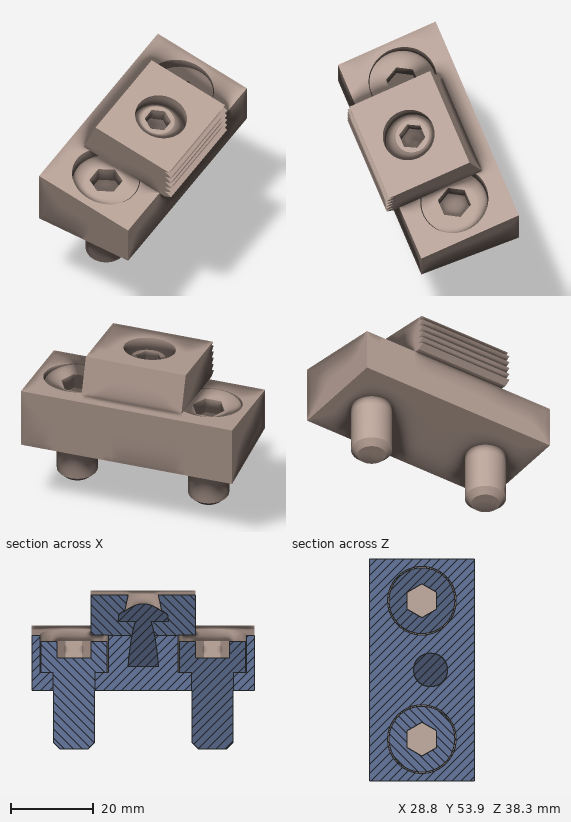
import cadquery as cq
import math

base_length = 53.85
base_width = 25.45
base_height = 15.65
slope_angle = 10.0
slope_tan = math.tan(math.radians(slope_angle))

screw_spacing = 33.5
screw_diameter = 9.95
screw_reach = 14.15
tip_chamfer = 1.5
head_diameter = 16.05
head_bore_diameter = 16.5
head_top_z = 11.95
head_height = 7.55
mount_hex_flats = 7.0
mount_hex_depth = 4.0

jaw_length = 25.45
jaw_thickness = 9.6
jaw_left_x = -8.9
jaw_back_angle = 20.0
tooth_count = 5
tooth_tip_span = 7.2
tooth_pitch = tooth_tip_span / (tooth_count - 1)
tooth_lower_height = 0.8
tooth_tip_x = 16.05
tooth_root_x = 14.3

bore_x = 5.15
bore_diameter = 12.7

clamp_offset = 0.6
clamp_head_diameter = 14.0
clamp_head_top_diameter = 8.2
clamp_head_depth = 1.9
clamp_head_height = 4.4
clamp_head_chamfer = (clamp_head_diameter - clamp_head_top_diameter) / 2
clamp_shank_diameter = 7.95
clamp_shank_length = 10.75
clamp_hex_flats = 5.6
clamp_hex_depth = 3.55
drill_point_angle = 120.0


def slope_z(x):
    """Height of the sloping top of the base at x."""
    return base_height - (x + base_width / 2) * slope_tan


def jaw_top_z(x):
    """Height of the top of the jaw at x."""
    return slope_z(x) + jaw_thickness / math.cos(math.radians(slope_angle))


def extrude_profile(points, length):
    """Extrude an XZ outline along Y, centred on Y = 0."""
    return cq.Workplane("XZ").polyline(points).close().extrude(length / 2, both=True)


def cylinder(diameter, bottom, top):
    """Upright cylinder on the Z axis."""
    return cq.Workplane("XY").workplane(offset=bottom).circle(diameter / 2).extrude(top - bottom)


def hex_socket(flats, top, depth):
    """Hexagonal cutter reaching down from top, with two corners on the Y axis."""
    half_side_angle = 180 / 6
    corner_diameter = flats / math.cos(math.radians(half_side_angle))
    socket = cq.Workplane("XY").polygon(6, corner_diameter).extrude(-depth)
    return socket.rotate((0, 0, 0), (0, 0, 1), half_side_angle).translate((0, 0, top))


def place_on_jaw(shape):
    """Move a shape from the Z axis to the bore axis, Z = 0 landing on the jaw top."""
    tilted = shape.rotate((0, 0, 0), (0, 1, 0), slope_angle)
    return tilted.translate((bore_x, 0, jaw_top_z(bore_x)))


clamp_head_top = -clamp_head_depth
clamp_head_bottom = clamp_head_top - clamp_head_height
clamp_shank_end = clamp_head_bottom - clamp_shank_length
head_bottom_z = head_top_z - head_height
screw_places = [(0, side * screw_spacing / 2) for side in (-1, 1)]


def make_clamp_blank():
    """Clamp screw without its socket, which is also the shape of its seat."""
    shank = cylinder(clamp_shank_diameter, clamp_shank_end, clamp_head_bottom)
    head = cylinder(clamp_head_diameter, clamp_head_bottom, clamp_head_top)
    blank = shank.union(head.faces(">Z").chamfer(clamp_head_chamfer))
    return blank.translate((-clamp_offset, 0, 0))


def make_base():
    half_width = base_width / 2
    base = extrude_profile(
        [
            (-half_width, 0),
            (half_width, 0),
            (half_width, slope_z(half_width)),
            (-half_width, slope_z(-half_width)),
        ],
        base_length,
    )
    for x, y in screw_places:
        head_bore = cylinder(head_bore_diameter, head_bottom_z, base_height)
        shank_hole = cylinder(screw_diameter, 0, head_bottom_z)
        base = base.cut(head_bore.union(shank_hole).translate((x, y, 0)))
    return base.cut(place_on_jaw(make_clamp_blank()))


def make_jaw():
    bottom_root_z = slope_z(tooth_root_x)
    outline = [(jaw_left_x, slope_z(jaw_left_x)), (tooth_root_x, bottom_root_z)]
    for tooth in range(tooth_count):
        root_z = bottom_root_z + tooth * tooth_pitch
        outline.append((tooth_tip_x, root_z + tooth_lower_height))
        outline.append((tooth_root_x, root_z + tooth_pitch))

    top_root_z = bottom_root_z + tooth_count * tooth_pitch
    flank_slope = tooth_lower_height / (tooth_tip_x - tooth_root_x)
    top_run = (jaw_top_z(tooth_root_x) - top_root_z) / (flank_slope + slope_tan)
    top_right_x = tooth_root_x + top_run
    outline.append((top_right_x, jaw_top_z(top_right_x)))

    lean_tan = math.tan(math.radians(jaw_back_angle))
    back_rise = (jaw_top_z(0) - slope_z(0)) / (1 + lean_tan * slope_tan)
    top_left_x = jaw_left_x + back_rise * lean_tan
    outline.append((top_left_x, jaw_top_z(top_left_x)))
    jaw = extrude_profile(outline, jaw_length)

    access_bore = cylinder(bore_diameter, clamp_head_top - clamp_head_chamfer, jaw_thickness)
    return jaw.cut(place_on_jaw(access_bore)).cut(place_on_jaw(make_clamp_blank()))


def make_mounting_screw():
    shank = cylinder(screw_diameter, -screw_reach, head_bottom_z).faces("<Z").chamfer(tip_chamfer)
    head = cylinder(head_diameter, head_bottom_z, head_top_z)
    return shank.union(head).cut(hex_socket(mount_hex_flats, head_top_z, mount_hex_depth))


def make_clamp_screw():
    socket_floor = clamp_head_top - clamp_hex_depth
    point_radius = clamp_hex_flats / 2
    point_depth = point_radius / math.tan(math.radians(drill_point_angle / 2))
    drill_point = (
        cq.Workplane("XZ")
        .polyline([(0, socket_floor), (point_radius, socket_floor), (0, socket_floor - point_depth)])
        .close()
        .revolve(360, (0, 0, 0), (0, 1, 0))
    )
    socket = hex_socket(clamp_hex_flats, clamp_head_top, clamp_hex_depth)
    cutter = socket.union(drill_point).translate((-clamp_offset, 0, 0))
    return place_on_jaw(make_clamp_blank().cut(cutter))


base = make_base()
jaw = make_jaw()
mounting_screws = [make_mounting_screw().translate((x, y, 0)) for x, y in screw_places]
clamp_screw = make_clamp_screw()

result = cq.Compound.makeCompound(
    [base.val(), jaw.val(), clamp_screw.val(), *[screw.val() for screw in mounting_screws]]
)